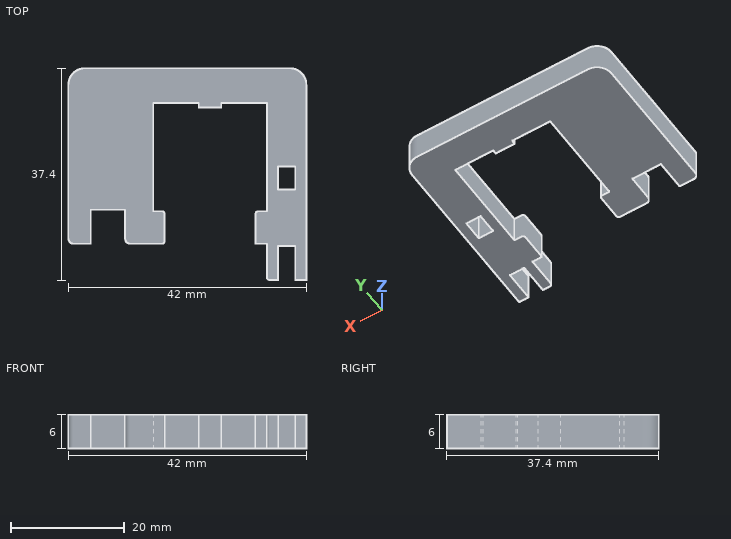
import cadquery as cq

width = 41.99
length = 37.38
thickness = 6.0

opening_left = 15.0
opening_width = 20.0
back_bar_depth = 6.2
opening_right = opening_left + opening_width

hook_reach = 2.0
hook_start = 25.2
hook_end = 31.0

tab_width = 4.0
tab_height = 0.8

notch_left = 4.0
notch_width = 6.0
notch_depth = 6.0

slot_wall = 2.0
slot_width = 3.0
slot_depth = 6.0
window_length = 4.0
window_to_tip = 16.0

back_corner_radius = 3.0
arm_corner_radius = 1.0
small_corner_radius = 0.5


def block(left, right, back, front):
    """Full-thickness box between two X positions and two distances from the back edge."""
    return (
        cq.Workplane("XY")
        .box(right - left, front - back, thickness, centered=False)
        .translate((left, -front, 0))
    )


def round_corners(body, radius, corners):
    """Fillet the vertical edges at the given (X, distance from the back edge) corners."""
    reach = 0.05
    for x, distance in corners:
        picker = cq.selectors.BoxSelector(
            (x - reach, -distance - reach, 0),
            (x + reach, -distance + reach, thickness),
        )
        body = body.edges("|Z").edges(picker).fillet(radius)
    return body


def make_frame():
    """Back bar with a short wide left arm and a long narrow right arm."""
    back_bar = block(0, width, 0, back_bar_depth)
    left_arm = block(0, opening_left, 0, hook_end)
    right_arm = block(opening_right, width, 0, length)
    return back_bar.union(left_arm).union(right_arm)


def add_hooks_and_tab(body):
    left_hook = block(opening_left, opening_left + hook_reach, hook_start, hook_end)
    right_hook = block(opening_right - hook_reach, opening_right, hook_start, hook_end)
    tab_left = opening_left + (opening_width - tab_width) / 2
    tab = block(tab_left, tab_left + tab_width, back_bar_depth, back_bar_depth + tab_height)
    return body.union(left_hook).union(right_hook).union(tab).clean()


def cut_notch(body):
    return body.cut(block(notch_left, notch_left + notch_width, hook_end - notch_depth, hook_end))


def cut_slot_and_window(body):
    slot_left = opening_right + slot_wall
    slot_right = slot_left + slot_width
    window_front = length - window_to_tip
    slot = block(slot_left, slot_right, length - slot_depth, length)
    window = block(slot_left, slot_right, window_front - window_length, window_front)
    return body.cut(slot).cut(window)


def round_outline(body):
    left_hook_tip = opening_left + hook_reach
    right_hook_tip = opening_right - hook_reach
    body = round_corners(body, back_corner_radius, [(0, 0), (width, 0)])
    body = round_corners(
        body, arm_corner_radius, [(0, hook_end), (notch_left + notch_width, hook_end)]
    )
    return round_corners(
        body,
        small_corner_radius,
        [
            (left_hook_tip, hook_start),
            (left_hook_tip, hook_end),
            (right_hook_tip, hook_start),
            (opening_right, length),
        ],
    )


frame = add_hooks_and_tab(make_frame())
frame = cut_notch(frame)
frame = cut_slot_and_window(frame)
result = round_outline(frame)